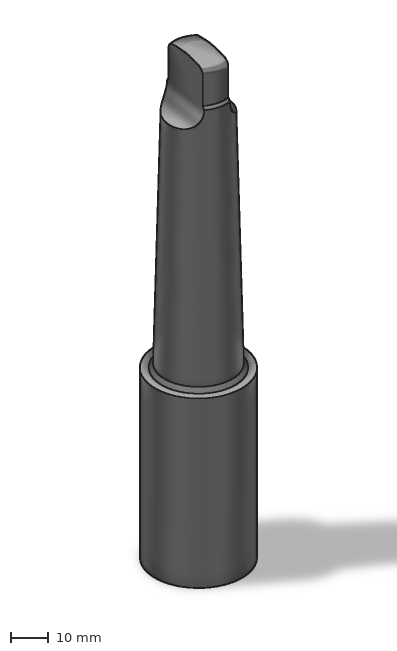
import cadquery as cq

total_height = 158.0
collar_diameter = 31.0
collar_height = 59.0

ring_diameter = 26.2
ring_height = 1.5

shank_base_diameter = 24.0
shank_top_diameter = 19.8
shank_top = 144.9

tang_diameter = 18.5
tang_thickness = 8.0
neck_height = 1.0
tip_flat_diameter = 8.0
tip_shoulder_diameter = 15.2
tip_shoulder_drop = 0.6
tip_corner_radius = 2.2
tip_height = 2.5

scoop_radius = 6.6


def turned_body():
    """Revolve collar, taper and rounded tang tip around Z."""
    return (
        cq.Workplane("XZ")
        .lineTo(collar_diameter / 2, 0)
        .lineTo(collar_diameter / 2, collar_height)
        .lineTo(ring_diameter / 2, collar_height)
        .lineTo(shank_base_diameter / 2, collar_height + ring_height)
        .lineTo(shank_top_diameter / 2, shank_top)
        .lineTo(tang_diameter / 2, shank_top + neck_height)
        .lineTo(tang_diameter / 2, total_height - tip_height)
        .radiusArc((tip_shoulder_diameter / 2, total_height - tip_shoulder_drop), -tip_corner_radius)
        .lineTo(tip_flat_diameter / 2, total_height)
        .lineTo(0, total_height)
        .close()
        .revolve(360, (0, 0, 0), (0, 1, 0))
    )


def flat_cutter(side):
    """Material beside one tang flat; side is +1 or -1 along Y."""
    flat_y = side * tang_thickness / 2
    scoop_end_y = flat_y + side * scoop_radius
    outside_y = side * collar_diameter / 2
    scoop_bottom = shank_top - scoop_radius
    return (
        cq.Workplane("YZ")
        .moveTo(flat_y, total_height)
        .lineTo(flat_y, shank_top)
        .radiusArc((scoop_end_y, scoop_bottom), -side * scoop_radius)
        .lineTo(outside_y, scoop_bottom)
        .lineTo(outside_y, total_height)
        .close()
        .extrude(collar_diameter / 2, both=True)
    )


result = turned_body()
for side in (-1, 1):
    result = result.cut(flat_cutter(side))